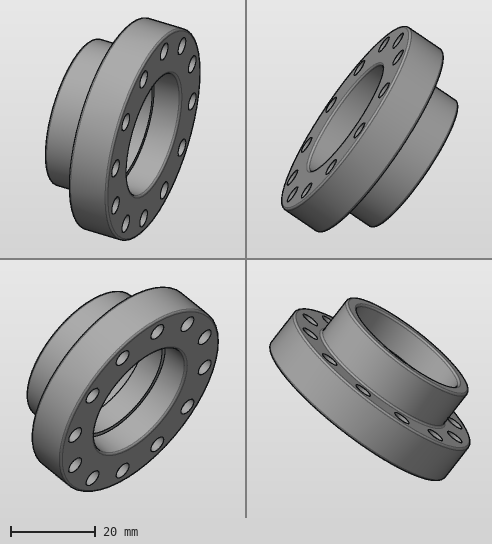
import cadquery as cq

total_length = 20.0
flange_diameter = 52.0
flange_thickness = total_length / 2
hub_diameter = 36.0
through_bore_diameter = 28.0
counterbore_diameter = 30.0
counterbore_depth = 7.0
bolt_hole_diameter = 4.2
bolt_circle_diameter = 44.0
bolt_hole_count = 12
edge_radius = 0.5

hub_face_x = -total_length / 2
flange_back_x = total_length / 2
flange_front_x = flange_back_x - flange_thickness


def cylinder(start_x, length, diameter):
    """Solid cylinder along +X, starting at start_x."""
    return cq.Workplane("YZ", origin=(start_x, 0, 0)).circle(diameter / 2).extrude(length)


def make_body():
    """Flange and hub, with rounded rims and a fillet where they meet."""
    flange = cylinder(flange_front_x, flange_thickness, flange_diameter)
    hub = cylinder(hub_face_x, total_length, hub_diameter)
    return flange.union(hub).edges("%CIRCLE").fillet(edge_radius)


def cut_bores(body):
    """Through bore, counterbored from both ends to leave a central inner ridge."""
    body = body.cut(cylinder(hub_face_x, total_length, through_bore_diameter))
    for start_x in (hub_face_x, flange_back_x - counterbore_depth):
        body = body.cut(cylinder(start_x, counterbore_depth, counterbore_diameter))
    for end_face in ("<X", ">X"):
        body = body.faces(end_face).edges(cq.selectors.RadiusNthSelector(0)).fillet(edge_radius)
    return body


def cut_bolt_holes(body):
    """Ring of through holes, straddling the Y and Z axes."""
    half_pitch = 360 / bolt_hole_count / 2
    holes = (
        cq.Workplane("YZ", origin=(flange_front_x, 0, 0))
        .polarArray(bolt_circle_diameter / 2, half_pitch, 360, bolt_hole_count)
        .circle(bolt_hole_diameter / 2)
        .extrude(flange_thickness)
    )
    return body.cut(holes)


result = cut_bolt_holes(cut_bores(make_body()))